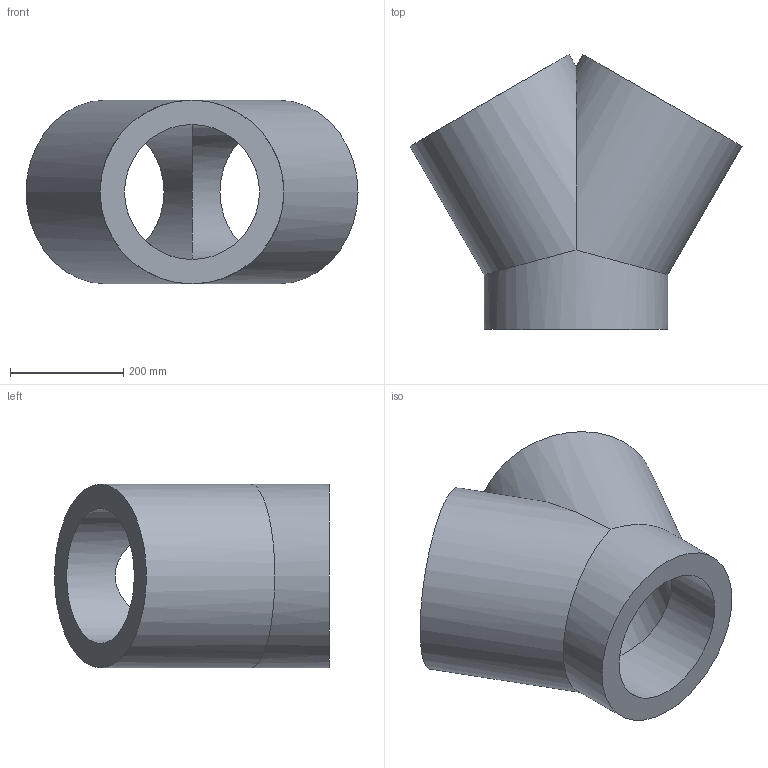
import cadquery as cq

OUTER_DIAMETER = 323.85
BORE_DIAMETER = 238.15
STEM_LENGTH = 139.7
BRANCH_LENGTH = 304.8
BRANCH_ANGLE = 30.0

LEGS = [
    (STEM_LENGTH, 180.0),
    (BRANCH_LENGTH, BRANCH_ANGLE),
    (BRANCH_LENGTH, -BRANCH_ANGLE),
]


def leg_cylinder(diameter, length, rotation):
    """Solid cylinder from the origin along +Y, turned about Z."""
    radius = diameter / 2
    origin = cq.Vector(0, 0, 0)
    cylinder = cq.Solid.makeCylinder(radius, length, origin, cq.Vector(0, 1, 0))
    return cq.Workplane(cylinder.rotate(origin, cq.Vector(0, 0, 1), rotation))


def joined_legs(diameter):
    """Union of the three cylinders that share one diameter."""
    body = None
    for length, rotation in LEGS:
        leg = leg_cylinder(diameter, length, rotation)
        body = leg if body is None else body.union(leg)
    return body


result = joined_legs(OUTER_DIAMETER).cut(joined_legs(BORE_DIAMETER))